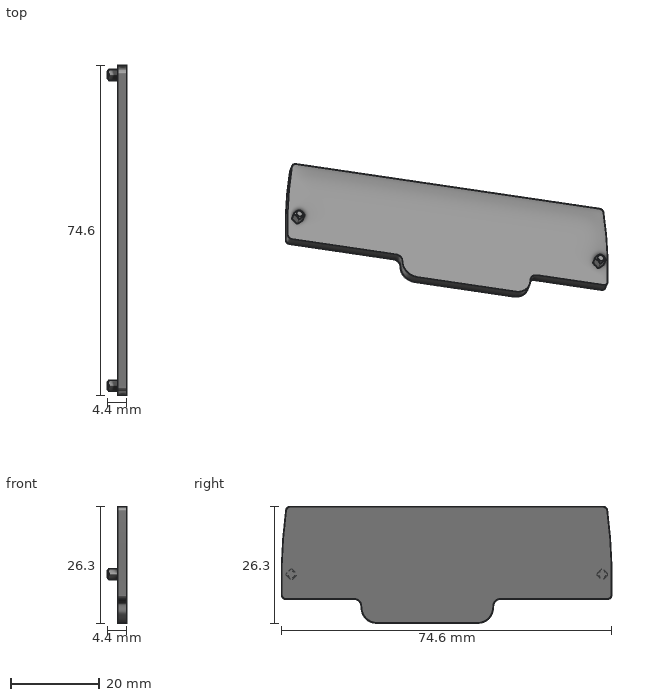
import cadquery as cq
import math

overall_length = 74.64
overall_height = 26.3
plate_thickness = 2.1
end_arc_radius = 120.0
end_arc_center_z = 9.8
corner_radius = 1.0

tab_drop = 5.4
tab_root_width = 30.2
tab_center_y = -4.37
tab_taper_angle = 6.0
tab_corner_radius = 3.5
tab_root_radius = 1.5

overall_depth = 4.4
peg_length = overall_depth - plate_thickness
peg_side = 1.9
peg_edge_radius = 0.2
peg_tip_diameter = 1.5
peg_tip_length = 0.4
peg_spacing = 70.2
peg_z = 11.05


def end_half_length(z):
    """Half the plate length at height z, on the end arc."""
    rise = z - end_arc_center_z
    sagitta = end_arc_radius - math.sqrt(end_arc_radius**2 - rise**2)
    return overall_length / 2 - sagitta


def make_body():
    """Main plate with arc ends and rounded corners."""
    top = end_half_length(overall_height)
    bottom = end_half_length(tab_drop)
    bulge = overall_length / 2
    return (
        cq.Workplane("YZ")
        .moveTo(-bottom, tab_drop)
        .lineTo(bottom, tab_drop)
        .threePointArc((bulge, end_arc_center_z), (top, overall_height))
        .lineTo(-top, overall_height)
        .threePointArc((-bulge, end_arc_center_z), (-bottom, tab_drop))
        .close()
        .extrude(plate_thickness)
        .edges("|X")
        .fillet(corner_radius)
    )


def make_tab():
    """Tapered tab with rounded lower corners, reaching up into the plate."""
    taper_slope = math.tan(math.radians(tab_taper_angle))
    root_half = tab_root_width / 2
    tip_half = root_half - tab_drop * taper_slope
    return (
        cq.Workplane("YZ")
        .center(tab_center_y, 0)
        .moveTo(-tip_half, 0)
        .lineTo(tip_half, 0)
        .lineTo(root_half, tab_drop)
        .lineTo(root_half, tab_drop + corner_radius)
        .lineTo(-root_half, tab_drop + corner_radius)
        .lineTo(-root_half, tab_drop)
        .close()
        .extrude(plate_thickness)
        .edges("|X and <Z")
        .fillet(tab_corner_radius)
    )


def make_plate():
    """Body and tab joined, with the inside corners at the tab's root rounded."""
    plate = make_body().union(make_tab())
    for side in (-1, 1):
        root_point = (plate_thickness / 2, tab_center_y + side * tab_root_width / 2, tab_drop)
        plate = plate.edges(cq.NearestToPointSelector(root_point)).fillet(tab_root_radius)
    return plate


def make_peg(y):
    """Square peg turned to stand on edge, with rounded edges and a conical tip."""
    corner_reach = peg_side / math.sqrt(2) - peg_edge_radius * (math.sqrt(2) - 1)
    square = (
        cq.Workplane("YZ")
        .rect(peg_side, peg_side)
        .extrude(-peg_length)
        .edges("|X")
        .fillet(peg_edge_radius)
        .rotate((0, 0, 0), (1, 0, 0), 45)
    )
    cone_slope = (corner_reach - peg_tip_diameter / 2) / peg_tip_length
    cone_base_radius = peg_tip_diameter / 2 + peg_length * cone_slope
    cone = (
        cq.Workplane("XY")
        .moveTo(-peg_length, 0)
        .lineTo(-peg_length, peg_tip_diameter / 2)
        .lineTo(0, cone_base_radius)
        .lineTo(0, 0)
        .close()
        .revolve(360, (0, 0, 0), (1, 0, 0))
    )
    return square.intersect(cone).translate((0, y, peg_z))


result = make_plate()
for side in (-1, 1):
    result = result.union(make_peg(side * peg_spacing / 2))